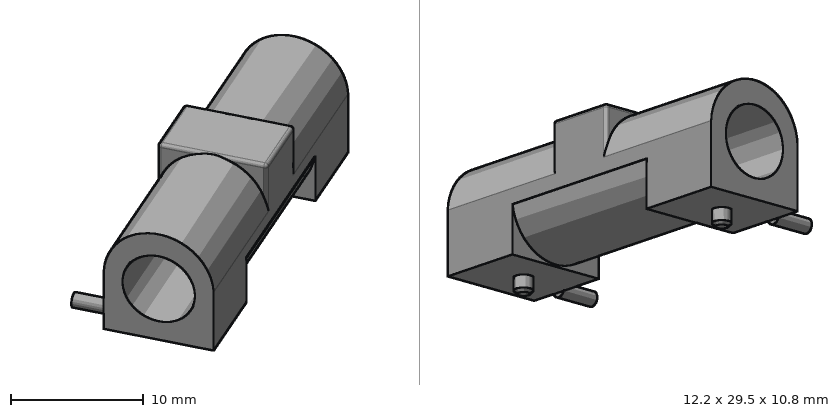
import cadquery as cq

LENGTH = 29.45
WIDTH = 8.8
SHOULDER_HEIGHT = 5.25
ROOF_HEIGHT = 9.43

BORE_DIAMETER = 5.8
BORE_HEIGHT = 4.57

RELIEF_LENGTH = 15.0
RELIEF_HEIGHT = 3.98

BLOCK_LENGTH = 5.95
BLOCK_TOP = 9.5
BLOCK_FILLET = 0.3

SIDE_PIN_DIAMETER = 1.2
SIDE_PIN_PROJECTION = 3.4
SIDE_PIN_HEIGHT = 0.22
SIDE_PIN_SPACING = 23.98
BOTTOM_PIN_DIAMETER = 1.5
BOTTOM_PIN_PROJECTION = 1.3
BOTTOM_PIN_SPACING = 22.15
BOTTOM_PIN_CHAMFER = 0.27
PIN_EMBED = 0.6

HALF_WIDTH = WIDTH / 2


def cylinder_along_y(diameter, length):
    """Cylinder on the bore axis, centred on the body's length."""
    return (
        cq.Workplane("XZ")
        .center(0, BORE_HEIGHT)
        .circle(diameter / 2)
        .extrude(length / 2, both=True)
    )


def make_body():
    return (
        cq.Workplane("XZ")
        .moveTo(-HALF_WIDTH, 0)
        .lineTo(HALF_WIDTH, 0)
        .lineTo(HALF_WIDTH, SHOULDER_HEIGHT)
        .threePointArc((0, ROOF_HEIGHT), (-HALF_WIDTH, SHOULDER_HEIGHT))
        .close()
        .extrude(LENGTH / 2, both=True)
    )


def make_relief():
    """Material removed around the underside of the central tube."""
    pocket = cq.Workplane("XY").box(
        WIDTH, RELIEF_LENGTH, RELIEF_HEIGHT, centered=(True, True, False)
    )
    return pocket.cut(cylinder_along_y(WIDTH, RELIEF_LENGTH))


def make_block():
    return (
        cq.Workplane("XY")
        .workplane(offset=SHOULDER_HEIGHT)
        .rect(WIDTH, BLOCK_LENGTH)
        .extrude(BLOCK_TOP - SHOULDER_HEIGHT)
        .edges("|Z or >Z")
        .fillet(BLOCK_FILLET)
    )


def make_side_pin(y):
    return (
        cq.Workplane("YZ", origin=(-HALF_WIDTH - SIDE_PIN_PROJECTION, y, SIDE_PIN_HEIGHT))
        .circle(SIDE_PIN_DIAMETER / 2)
        .extrude(SIDE_PIN_PROJECTION)
    )


def make_bottom_pin(y):
    return (
        cq.Workplane("XY", origin=(0, y, -BOTTOM_PIN_PROJECTION))
        .circle(BOTTOM_PIN_DIAMETER / 2)
        .extrude(BOTTOM_PIN_PROJECTION + PIN_EMBED)
        .faces("<Z")
        .chamfer(BOTTOM_PIN_CHAMFER)
    )


result = make_body().cut(make_relief()).union(make_block())
result = result.cut(cylinder_along_y(BORE_DIAMETER, LENGTH))

for side in (-1, 1):
    result = result.union(make_side_pin(side * SIDE_PIN_SPACING / 2))
    result = result.union(make_bottom_pin(side * BOTTOM_PIN_SPACING / 2))